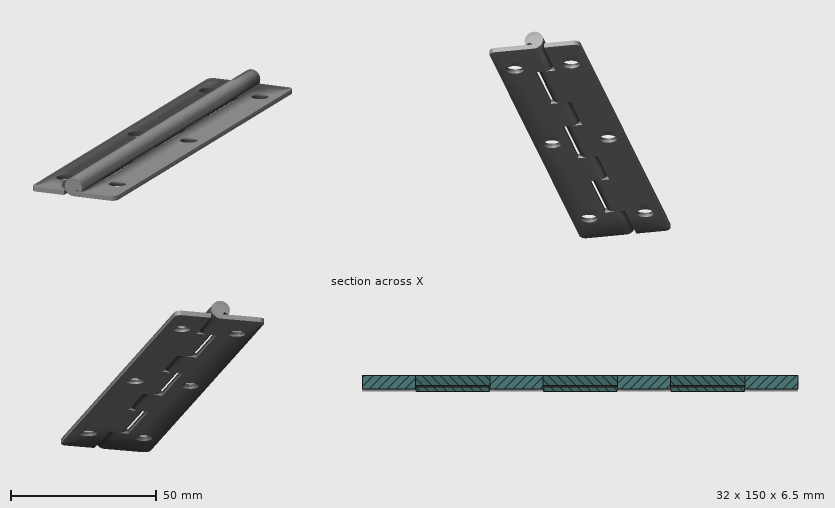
import cadquery as cq
import math

hinge_length = 150.0
hinge_width = 32.0
barrel_diameter = 6.5
sheet_thickness = 1.6
corner_radius = 2.2

barrel_radius = barrel_diameter / 2
bore_radius = barrel_radius - sheet_thickness
axis_height = barrel_radius
curl_end_angle = math.radians(-28.0)

right_knuckle_count = 4
left_knuckle_count = right_knuckle_count - 1
right_knuckle_length = 18.5
left_knuckle_length = (hinge_length - right_knuckle_count * right_knuckle_length) / left_knuckle_count
knuckle_pitch = right_knuckle_length + left_knuckle_length

barrel_clearance = 0.3
leaf_inner_x = barrel_radius + barrel_clearance
leaf_outer_x = hinge_width / 2

hole_diameter = 6.0
hole_x = 9.9
hole_pitch = 60.0
holes_per_leaf = 3


def make_plate():
    """Flat plate on the +X side with rounded outer corners and screw holes."""
    plate_width = leaf_outer_x - leaf_inner_x
    plate = (
        cq.Workplane("XY")
        .center(leaf_inner_x + plate_width / 2, 0)
        .rect(plate_width, hinge_length)
        .extrude(sheet_thickness)
        .edges("|Z and >X")
        .fillet(corner_radius)
    )
    holes = (
        cq.Workplane("XY")
        .center(hole_x, 0)
        .rarray(1.5, hole_pitch, 1, holes_per_leaf)
        .circle(hole_diameter / 2)
        .extrude(sheet_thickness)
    )
    return plate.cut(holes)


def on_barrel(radius, angle):
    """X, Z point at an angle around the pin axis."""
    return (radius * math.cos(angle), axis_height + radius * math.sin(angle))


def make_knuckle(start_y, length):
    """Sheet running in from the +X plate and curling around the pin."""
    top = math.pi / 2
    return (
        cq.Workplane("XZ", origin=(0, start_y, 0))
        .moveTo(leaf_inner_x, 0)
        .lineTo(0, 0)
        .threePointArc(on_barrel(barrel_radius, top), on_barrel(barrel_radius, curl_end_angle))
        .lineTo(*on_barrel(bore_radius, curl_end_angle))
        .threePointArc(on_barrel(bore_radius, top), (0, sheet_thickness))
        .lineTo(leaf_inner_x, sheet_thickness)
        .close()
        .extrude(-length)
    )


def make_leaf(first_knuckle_y, knuckle_length, knuckle_count):
    """Leaf on the +X side: plate plus a row of knuckles."""
    leaf = make_plate()
    for index in range(knuckle_count):
        start_y = first_knuckle_y + index * knuckle_pitch
        leaf = leaf.union(make_knuckle(start_y, knuckle_length))
    return leaf


def make_pin():
    """Round pin filling the bore over the full hinge length."""
    return (
        cq.Workplane("XZ", origin=(0, -hinge_length / 2, axis_height))
        .circle(bore_radius)
        .extrude(-hinge_length)
    )


hinge_start_y = -hinge_length / 2
right_leaf = make_leaf(hinge_start_y, right_knuckle_length, right_knuckle_count)
left_leaf = make_leaf(
    hinge_start_y + right_knuckle_length, left_knuckle_length, left_knuckle_count
).mirror("YZ")
pin = make_pin()

result = cq.Compound.makeCompound([right_leaf.val(), left_leaf.val(), pin.val()])